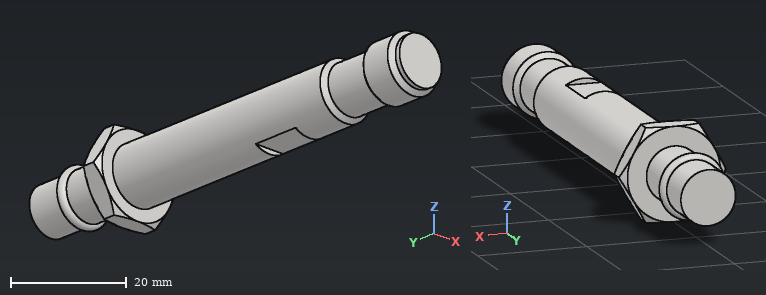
import cadquery as cq
import math

LENGTH = 93.0
NECK_DIAMETER = 10.0
BODY_DIAMETER = 12.0
NECK_RADIUS = NECK_DIAMETER / 2
BODY_RADIUS = BODY_DIAMETER / 2
CHAMFER = BODY_RADIUS - NECK_RADIUS

COLLAR_START = 1.0
COLLAR_END = 9.0
BODY_START = 17.95

HEX_ACROSS_FLATS = 17.0
HEX_THICKNESS = 4.0
HEX_START = 71.05
HEX_END = HEX_START + HEX_THICKNESS
HEX_CHAMFER_ANGLE = 30.0

FLAT_START = 28.0
FLAT_LENGTH = 9.95
ACROSS_WRENCH_FLATS = NECK_DIAMETER

RING_CENTER = 84.6
RING_SECTION_RADIUS = BODY_RADIUS - NECK_RADIUS


def make_ring():
    """Full torus around the shaft axis."""
    section = cq.Workplane("XY").center(NECK_RADIUS, RING_CENTER).circle(RING_SECTION_RADIUS)
    return section.revolve(360, (-NECK_RADIUS, 0, 0), (-NECK_RADIUS, 1, 0))


def make_turned_shaft():
    """Stepped round shaft, revolved from its half profile."""
    profile = [
        (0, 0),
        (NECK_RADIUS, 0),
        (NECK_RADIUS, COLLAR_START),
        (BODY_RADIUS, COLLAR_START + CHAMFER),
        (BODY_RADIUS, COLLAR_END - CHAMFER),
        (NECK_RADIUS, COLLAR_END),
        (NECK_RADIUS, BODY_START),
        (BODY_RADIUS, BODY_START + CHAMFER),
        (BODY_RADIUS, HEX_END),
        (NECK_RADIUS, HEX_END),
        (NECK_RADIUS, LENGTH),
        (0, LENGTH),
    ]
    return cq.Workplane("XY").polyline(profile).close().revolve(360, (0, 0, 0), (0, 1, 0))


def make_hex_flange():
    """Hexagon with corners on the X axis, both faces chamfered by a cone."""
    face_radius = HEX_ACROSS_FLATS / 2
    corner_radius = face_radius / math.cos(math.pi / 6)
    chamfer_depth = (corner_radius - face_radius) * math.tan(math.radians(HEX_CHAMFER_ANGLE))
    prism = (
        cq.Workplane("XZ", origin=(0, HEX_END, 0))
        .polygon(6, 2 * corner_radius)
        .extrude(HEX_THICKNESS)
    )
    envelope_profile = [
        (0, HEX_START),
        (face_radius, HEX_START),
        (corner_radius, HEX_START + chamfer_depth),
        (corner_radius, HEX_END - chamfer_depth),
        (face_radius, HEX_END),
        (0, HEX_END),
    ]
    envelope = (
        cq.Workplane("XY").polyline(envelope_profile).close().revolve(360, (0, 0, 0), (0, 1, 0))
    )
    return prism.intersect(envelope)


def cut_wrench_flats(shaft):
    """Cut one flat above and one below the shaft axis."""
    for side in (1, -1):
        cutter = cq.Workplane("XY").box(2 * BODY_RADIUS, FLAT_LENGTH, BODY_RADIUS)
        height = side * (ACROSS_WRENCH_FLATS + BODY_RADIUS) / 2
        shaft = shaft.cut(cutter.translate((0, FLAT_START + FLAT_LENGTH / 2, height)))
    return shaft


def make_shaft(ring):
    """Shaft with its flange, wrench flats and the groove that holds the ring."""
    shaft = make_turned_shaft().union(make_hex_flange())
    return cut_wrench_flats(shaft).cut(ring).solids()


ring = make_ring()
shaft = make_shaft(ring)

result = cq.Compound.makeCompound([shaft.val(), ring.val()])